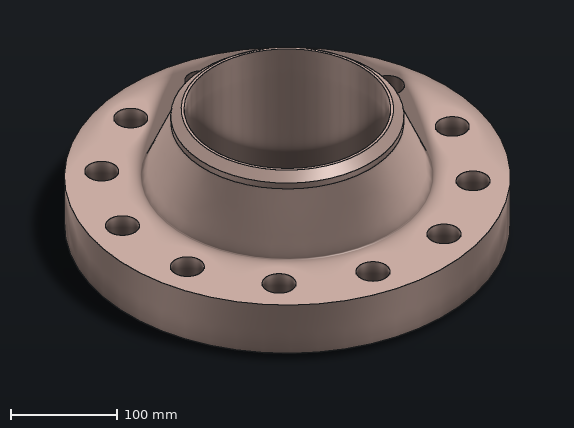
import cadquery as cq

flange_diameter = 419.0
flange_thickness = 55.7
face_diameter = 301.5
face_height = 8.0
flange_top = face_height + flange_thickness

overall_height = 141.0
bore_diameter = 194.0
hub_base_diameter = 273.5
hub_fillet_radius = 2.3
neck_diameter = 219.0
neck_height = 6.5
bevel_height = 8.0
bevel_top_diameter = 199.5
bevel_start = overall_height - bevel_height
neck_start = bevel_start - neck_height

bolt_count = 12
bolt_circle_diameter = 349.0
bolt_hole_diameter = 32.0


def flange_body():
    """Half section of the flange, turned about the Z axis."""
    return (
        cq.Workplane("XZ")
        .moveTo(bore_diameter / 2, 0)
        .lineTo(face_diameter / 2, 0)
        .lineTo(face_diameter / 2, face_height)
        .lineTo(flange_diameter / 2, face_height)
        .lineTo(flange_diameter / 2, flange_top)
        .lineTo(hub_base_diameter / 2, flange_top)
        .lineTo(neck_diameter / 2, neck_start)
        .lineTo(neck_diameter / 2, bevel_start)
        .lineTo(bevel_top_diameter / 2, overall_height)
        .lineTo(bore_diameter / 2, overall_height)
        .close()
        .revolve(360, (0, 0, 0), (0, 1, 0))
    )


def fillet_hub_base(body):
    """Round the inner corner where the hub meets the top of the flange."""
    half_width = (hub_base_diameter + flange_diameter) / 4
    half_depth = hub_fillet_radius
    around_hub_base = cq.selectors.BoxSelector(
        (-half_width, -half_width, flange_top - half_depth),
        (half_width, half_width, flange_top + half_depth),
        boundingbox=True,
    )
    return body.edges(around_hub_base).fillet(hub_fillet_radius)


def bolt_holes():
    """Cylinders to remove, evenly spaced with one on the +X axis."""
    return (
        cq.Workplane("XY")
        .polarArray(bolt_circle_diameter / 2, 0, 360, bolt_count)
        .circle(bolt_hole_diameter / 2)
        .extrude(flange_top)
    )


result = fillet_hub_base(flange_body()).cut(bolt_holes())